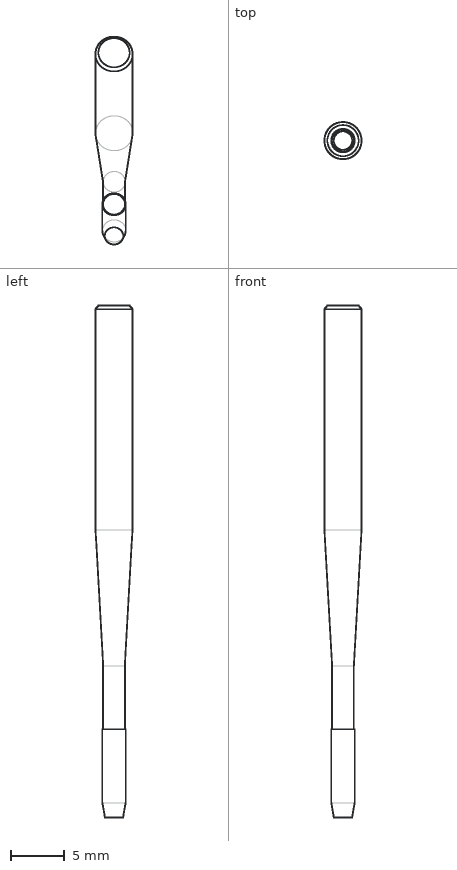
import cadquery as cq

total_length = 47.8
shank_diameter = 3.5
chamfer_height = 0.35
chamfer_inset = 0.3
neck_diameter = 2.05
tip_diameter = 2.2
tip_end_diameter = 1.7

lead_in_height = 1.4
joint_height = 8.25
neck_top_height = 14.2
shank_bottom_height = 26.85


def revolve_about_axis(profile):
    """Turn a closed (radius, height) profile into a solid around Z."""
    return cq.Workplane("XZ").polyline(profile).close().revolve(360, (0, 0, 0), (0, 1, 0))


def make_holder():
    """Chamfered shank that tapers down to a straight neck."""
    shank_radius = shank_diameter / 2
    neck_radius = neck_diameter / 2
    return revolve_about_axis([
        (0, joint_height),
        (neck_radius, joint_height),
        (neck_radius, neck_top_height),
        (shank_radius, shank_bottom_height),
        (shank_radius, total_length - chamfer_height),
        (shank_radius - chamfer_inset, total_length),
        (0, total_length),
    ])


def make_tip():
    """Cylindrical tip with a conical lead-in, butted against the neck."""
    tip_radius = tip_diameter / 2
    return revolve_about_axis([
        (0, 0),
        (tip_end_diameter / 2, 0),
        (tip_radius, lead_in_height),
        (tip_radius, joint_height),
        (0, joint_height),
    ])


holder = make_holder()
tip = make_tip()

result = cq.Compound.makeCompound([holder.val(), tip.val()])